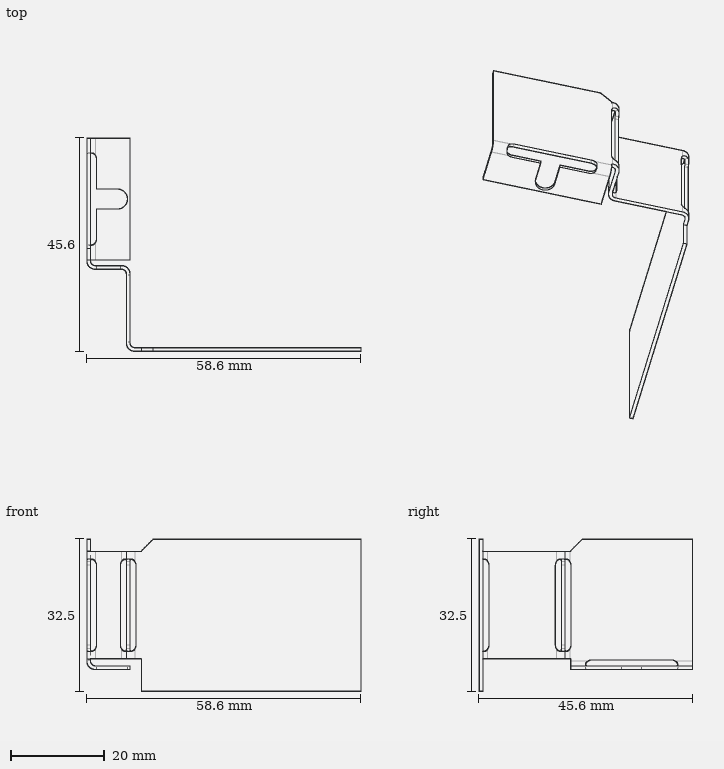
import cadquery as cq
import math

length = 58.6
depth = 45.6
height = 32.5

thickness = 0.8
inner_radius = 1.0
outer_radius = inner_radius + thickness
middle_radius = inner_radius + thickness / 2

strip_bottom = 6.9
strip_top = 29.9
step_front_y = 17.5
step_right_x = 9.25
wall_left_x = step_right_x - thickness
step_back_y = step_front_y + thickness

front_plate_x = 11.65
side_plate_y = 19.5
corner_chamfer = 2.5
flange_bottom = 4.6
flange_length = step_right_x
plate_middle_y = (side_plate_y + depth) / 2

slot_length = 19.75
slot_margin = 0.25
bend_half_arc = middle_radius * math.pi / 4
slot_end_radius = bend_half_arc + slot_margin

notch_width = 4.2
notch_end_x = 8.7


def box(x0, x1, y0, y1, z0, z1):
    """Box between opposite corners."""
    return cq.Workplane("XY").box(x1 - x0, y1 - y0, z1 - z0, centered=False).translate((x0, y0, z0))


def strip():
    """Constant-height strip with three bends, drawn in plan and extruded."""
    path = (
        cq.Workplane("XY")
        .moveTo(0, side_plate_y)
        .lineTo(0, step_front_y + outer_radius)
        .radiusArc((outer_radius, step_front_y), -outer_radius)
        .lineTo(wall_left_x - inner_radius, step_front_y)
        .radiusArc((wall_left_x, step_front_y - inner_radius), inner_radius)
        .lineTo(wall_left_x, outer_radius)
        .radiusArc((wall_left_x + outer_radius, 0), -outer_radius)
        .lineTo(front_plate_x, 0)
        .lineTo(front_plate_x, thickness)
        .lineTo(wall_left_x + outer_radius, thickness)
        .radiusArc((step_right_x, outer_radius), inner_radius)
        .lineTo(step_right_x, step_back_y - outer_radius)
        .radiusArc((step_right_x - outer_radius, step_back_y), -outer_radius)
        .lineTo(outer_radius, step_back_y)
        .radiusArc((thickness, step_front_y + outer_radius), inner_radius)
        .lineTo(thickness, side_plate_y)
        .close()
    )
    return path.extrude(strip_top - strip_bottom).translate((0, 0, strip_bottom))


def front_plate():
    plate = box(front_plate_x, length, 0, thickness, 0, height)
    return plate.edges("|Y and <X and >Z").chamfer(corner_chamfer)


def side_plate():
    """Upright plate above the flange bend."""
    plate = box(0, thickness, side_plate_y, depth, flange_bottom + outer_radius, height)
    return plate.edges("|X and <Y and >Z").chamfer(corner_chamfer)


def flange():
    """Bend and flat flange along the lower edge of the side plate."""
    bend_z = flange_bottom + outer_radius
    profile = (
        cq.Workplane("XZ", origin=(0, depth, 0))
        .moveTo(0, bend_z)
        .radiusArc((outer_radius, flange_bottom), -outer_radius)
        .lineTo(flange_length, flange_bottom)
        .lineTo(flange_length, flange_bottom + thickness)
        .lineTo(outer_radius, flange_bottom + thickness)
        .radiusArc((thickness, bend_z), inner_radius)
        .close()
    )
    return profile.extrude(depth - side_plate_y)


def bend_slot():
    """Slot cutter wrapped round a bend whose axis is Z, with the bend in the -X, -Y quadrant."""
    half_straight = slot_length / 2 - slot_end_radius
    reach = 1.5 * outer_radius

    leg = (
        cq.Workplane("XZ")
        .center(-bend_half_arc, 0)
        .slot2D(slot_length, 2 * slot_end_radius, 90)
        .extrude(reach)
    )
    leg = leg.intersect(box(0, reach, -reach, 0, -slot_length, slot_length))
    other_leg = leg.mirror(cq.Vector(1, -1, 0), (0, 0, 0))

    near = inner_radius / 2
    spread = slot_end_radius / bend_half_arc
    diagonal = cq.Plane(origin=(0, 0, 0), xDir=(1, -1, 0), normal=(-1, -1, 0))
    fan = (
        cq.Workplane(diagonal)
        .workplane(offset=near)
        .rect(2 * spread * near, 2 * half_straight)
        .workplane(offset=reach - near)
        .rect(2 * spread * reach, 2 * half_straight)
        .loft(ruled=True)
    )
    rounded_end = (
        cq.Workplane(diagonal)
        .workplane(offset=near)
        .ellipse(spread * near, slot_end_radius)
        .workplane(offset=reach - near)
        .ellipse(spread * reach, slot_end_radius)
        .loft(ruled=True)
    )
    for side in (-1, 1):
        fan = fan.union(rounded_end.translate((0, 0, side * half_straight)))
    fan = fan.intersect(box(-reach, 0, -reach, 0, -slot_length, slot_length))
    return fan.union(leg).union(other_leg)


def notch():
    """Round-ended notch opening into the slot of the flange bend."""
    radius = notch_width / 2
    centre_x = notch_end_x - radius
    top = flange_bottom + 2 * thickness
    straight = box(
        outer_radius, centre_x, plate_middle_y - radius, plate_middle_y + radius, flange_bottom, top
    )
    end = cq.Workplane("XY", origin=(centre_x, plate_middle_y, flange_bottom)).circle(radius)
    return straight.union(end.extrude(top - flange_bottom))


strip_middle_z = (strip_bottom + strip_top) / 2
slot = bend_slot()
half_turn_slot = slot.rotate((0, 0, 0), (0, 0, 1), 180)
flange_slot = slot.rotate((0, 0, 0), (1, 0, 0), 90)

result = strip().union(front_plate()).union(side_plate()).union(flange())
result = result.cut(slot.translate((outer_radius, step_front_y + outer_radius, strip_middle_z)))
result = result.cut(
    half_turn_slot.translate((step_right_x - outer_radius, step_back_y - outer_radius, strip_middle_z))
)
result = result.cut(slot.translate((wall_left_x + outer_radius, outer_radius, strip_middle_z)))
result = result.cut(flange_slot.translate((outer_radius, plate_middle_y, flange_bottom + outer_radius)))
result = result.cut(notch())